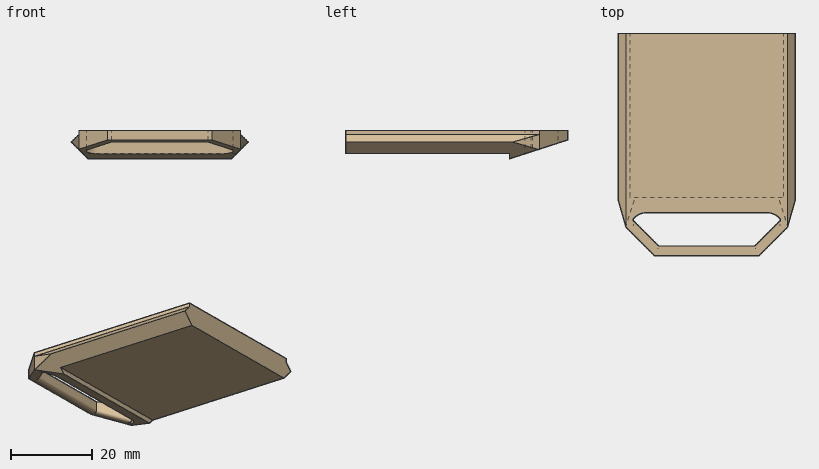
import cadquery as cq
import math

WIDTH = 43.22
LENGTH = 54.3
HEIGHT = 6.99

BODY_HALF = 19.75
RAIL_HALF = WIDTH / 2
RAIL_TOP = 1.0
BASE_DEPTH = 5.7
RAIL_TIP = RAIL_TOP + RAIL_HALF - BODY_HALF
FOOT_HALF = RAIL_HALF - (HEIGHT - RAIL_TIP)

CORNER_CUT = 7.0
RAIL_TAPER_END = 13.5
LIP_BACK = 14.3
NOSE_THICKNESS = 2.35
NOSE_HALF = BODY_HALF - CORNER_CUT

WALL = 2.45
OPENING_BACK = 10.5
OPENING_HALF = 17.9
SIDE_FLAT = 0.4
STRAP_ROUND = 0.7
ROUND_START = 14.8
OPENING_FRONT_HALF = NOSE_HALF - WALL * math.tan(math.radians(22.5))
OPENING_WIDE_Y = WALL + OPENING_HALF - OPENING_FRONT_HALF
ROUND_END_Y = OPENING_WIDE_Y + SIDE_FLAT


def mirrored(points):
    """Close a right-hand half outline with its mirror image in X."""
    return points + [(-x, y) for x, y in reversed(points)]


def make_bar():
    """Cross-section with the side rails, run along the full length."""
    section = mirrored([
        (BODY_HALF, 0),
        (BODY_HALF, -RAIL_TOP),
        (RAIL_HALF, -RAIL_TIP),
        (FOOT_HALF, -HEIGHT),
    ])
    return cq.Workplane("XZ").polyline(section).close().extrude(-LENGTH)


def make_plan():
    """Plan outline: cut front corners and tapered rail ends."""
    outline = mirrored([
        (NOSE_HALF, 0),
        (BODY_HALF, CORNER_CUT),
        (RAIL_HALF, RAIL_TAPER_END),
        (RAIL_HALF, LENGTH),
    ])
    return cq.Workplane("XY").polyline(outline).close().extrude(-HEIGHT)


def make_side_profile():
    """Side outline: sloped nose underside, lip and flat underside."""
    outline = [
        (0, 0),
        (LENGTH, 0),
        (LENGTH, -BASE_DEPTH),
        (LIP_BACK, -BASE_DEPTH),
        (LIP_BACK, -HEIGHT),
        (0, -NOSE_THICKNESS),
    ]
    return cq.Workplane("YZ").polyline(outline).close().extrude(RAIL_HALF, both=True)


def make_opening():
    """Handle opening through the nose, with rounded rear corners."""
    rise = OPENING_BACK - ROUND_END_Y
    run = OPENING_HALF - ROUND_START
    radius = (run**2 + rise**2) / (2 * rise)
    half_angle = math.asin(run / radius) / 2
    mid_x = ROUND_START + radius * math.sin(half_angle)
    mid_y = OPENING_BACK - radius * (1 - math.cos(half_angle))
    return (
        cq.Workplane("XY")
        .moveTo(-OPENING_FRONT_HALF, WALL)
        .lineTo(OPENING_FRONT_HALF, WALL)
        .lineTo(OPENING_HALF, OPENING_WIDE_Y)
        .lineTo(OPENING_HALF, ROUND_END_Y)
        .threePointArc((mid_x, mid_y), (ROUND_START, OPENING_BACK))
        .lineTo(-ROUND_START, OPENING_BACK)
        .threePointArc((-mid_x, mid_y), (-OPENING_HALF, ROUND_END_Y))
        .lineTo(-OPENING_HALF, OPENING_WIDE_Y)
        .close()
        .extrude(-HEIGHT)
    )


def round_strap(part):
    """Fillet the lower inner edge of the strap: front run and both diagonals."""
    mid_x = (OPENING_FRONT_HALF + OPENING_HALF) / 2
    mid_y = (WALL + OPENING_WIDE_Y) / 2
    slope = (HEIGHT - NOSE_THICKNESS) / LIP_BACK
    lower_edges = part.newObject([])
    for x, y in [(0, WALL), (mid_x, mid_y), (-mid_x, mid_y)]:
        middle = (x, y, -NOSE_THICKNESS - slope * y)
        lower_edges = lower_edges.add(part.edges(cq.selectors.NearestToPointSelector(middle)))
    return lower_edges.fillet(STRAP_ROUND)


blank = make_bar().intersect(make_plan()).intersect(make_side_profile())
result = round_strap(blank.cut(make_opening()))